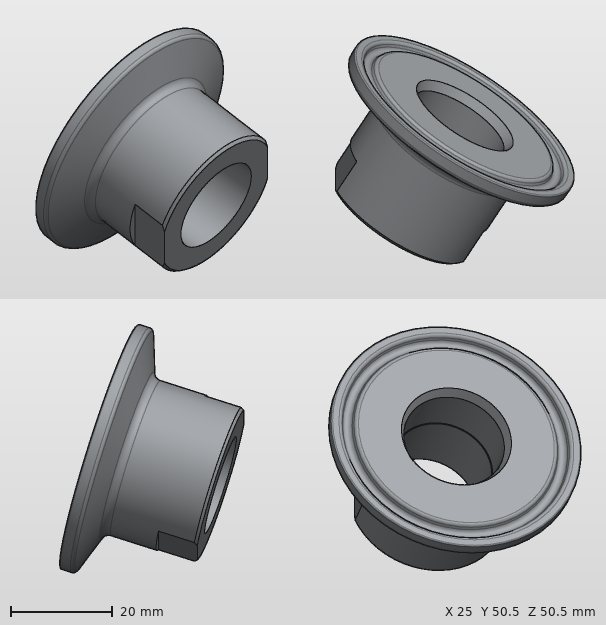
import cadquery as cq
import math

length = 25.0
flange_radius = 25.25
hub_radius = 16.0
hub_end_chamfer = 0.6

rim_thickness = 2.85
back_angle = math.radians(20)
front_edge_fillet = 0.25
back_edge_fillet = 0.8
hub_root_fillet = 1.85

groove_radius = 21.75
groove_half_width = 1.95
groove_depth = 1.6
groove_lip_fillet = 0.85
groove_wall_angle = math.radians(25)

bore_radius = 10.15
mouth_radius = 11.1
mouth_depth = 1.9
outlet_radius = 9.95
outlet_start = 11.6

flat_distance = 14.55
flat_start = 16.95


def revolve_about_x(profile):
    """Revolve a closed (x, radius) profile about the X axis."""
    return profile.close().revolve(360, (0, 0, 0), (1, 0, 0))


def profile_arc(profile, center, radius, start_angle, end_angle):
    """Add an arc from the current point, given its center and angles."""
    middle_angle = (start_angle + end_angle) / 2

    def point(angle):
        return (center[0] + radius * math.cos(angle), center[1] + radius * math.sin(angle))

    return profile.threePointArc(point(middle_angle), point(end_angle))


def make_body():
    """Flange and hub as one solid of revolution with rounded corners."""
    cone_end = rim_thickness + (flange_radius - hub_radius) * math.tan(back_angle)
    tangent_ratio = math.tan((math.pi / 2 - back_angle) / 2)
    back_trim = back_edge_fillet * tangent_ratio
    root_trim = hub_root_fillet * tangent_ratio

    profile = cq.Workplane("XY").lineTo(0, flange_radius - front_edge_fillet)
    profile = profile_arc(
        profile,
        (front_edge_fillet, flange_radius - front_edge_fillet),
        front_edge_fillet,
        math.pi,
        math.pi / 2,
    )
    profile = profile.lineTo(rim_thickness - back_trim, flange_radius)
    profile = profile_arc(
        profile,
        (rim_thickness - back_trim, flange_radius - back_edge_fillet),
        back_edge_fillet,
        math.pi / 2,
        back_angle,
    )
    profile = profile.lineTo(
        cone_end - root_trim * math.sin(back_angle),
        hub_radius + root_trim * math.cos(back_angle),
    )
    profile = profile_arc(
        profile,
        (cone_end + root_trim, hub_radius + hub_root_fillet),
        hub_root_fillet,
        math.pi + back_angle,
        3 * math.pi / 2,
    )
    profile = (
        profile.lineTo(length - hub_end_chamfer, hub_radius)
        .lineTo(length, hub_radius - hub_end_chamfer)
        .lineTo(length, 0)
    )
    return revolve_about_x(profile)


def make_groove():
    """Ring with rounded lips, straight sloping walls and a round floor."""
    sine = math.sin(groove_wall_angle)
    cosine = math.cos(groove_wall_angle)
    radius_sum = (groove_half_width * cosine - groove_depth * sine) / (1 - sine)
    floor_radius = radius_sum - groove_lip_fillet
    lip_depth = groove_lip_fillet * (1 - sine)
    floor_center = (groove_depth - floor_radius, groove_radius)
    inner_lip = groove_radius - groove_half_width
    outer_lip = groove_radius + groove_half_width

    profile = cq.Workplane("XY").moveTo(0, inner_lip)
    profile = profile_arc(
        profile,
        (groove_lip_fillet, inner_lip),
        groove_lip_fillet,
        math.pi,
        math.pi / 2 + groove_wall_angle,
    )
    profile = profile.lineTo(
        floor_center[0] + floor_radius * sine, groove_radius - floor_radius * cosine
    )
    profile = profile_arc(
        profile,
        floor_center,
        floor_radius,
        groove_wall_angle - math.pi / 2,
        math.pi / 2 - groove_wall_angle,
    )
    profile = profile.lineTo(lip_depth, outer_lip - groove_lip_fillet * cosine)
    profile = profile_arc(
        profile,
        (groove_lip_fillet, outer_lip),
        groove_lip_fillet,
        3 * math.pi / 2 - groove_wall_angle,
        math.pi,
    )
    return revolve_about_x(profile)


def make_bore():
    """Through bore with a conical mouth and a slightly narrower outlet."""
    profile = (
        cq.Workplane("XY")
        .lineTo(0, mouth_radius)
        .lineTo(mouth_depth, bore_radius)
        .lineTo(outlet_start, bore_radius)
        .lineTo(outlet_start, outlet_radius)
        .lineTo(length, outlet_radius)
        .lineTo(length, 0)
    )
    return revolve_about_x(profile)


def make_flat_cutter(side):
    """Block beyond one wrench flat; side is +1 or -1 along Y."""
    flat_length = length - flat_start
    block_depth = hub_radius - flat_distance
    return cq.Workplane("XY").box(flat_length, block_depth, 2 * hub_radius).translate(
        (flat_start + flat_length / 2, side * (flat_distance + block_depth / 2), 0)
    )


result = make_body().cut(make_groove()).cut(make_bore())
for side in (-1, 1):
    result = result.cut(make_flat_cutter(side))